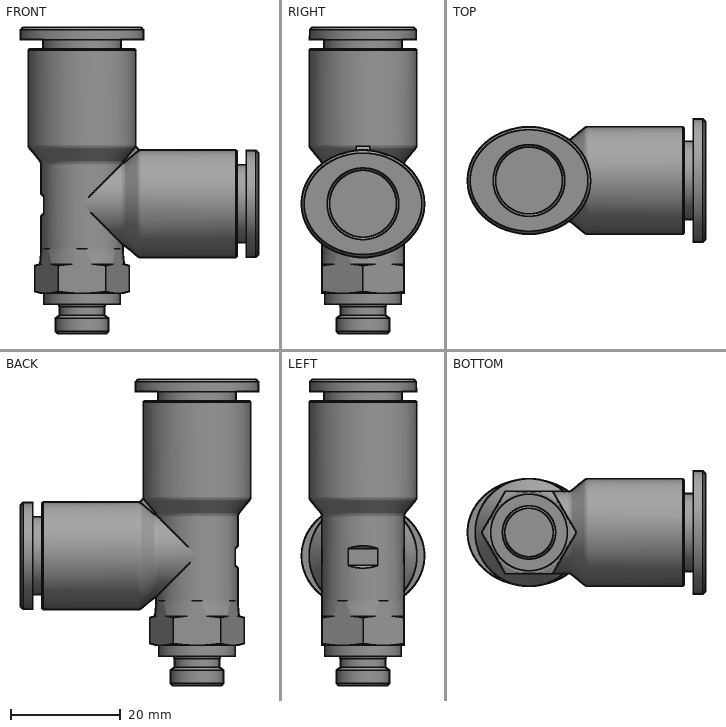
import cadquery as cq
import math


overall_height = 55.95
port_reach = 32.2
axis_height = overall_height - port_reach
stem_radius = 7.5
body_radius = 9.85
shoulder_start = 7.55
shoulder_end = 10.4
shoulder_blend = 1.0
collar_thickness = 2.3
collar_gap = 1.6
collar_length = 22.5
collar_width = 19.5
collar_chamfer = 0.5
neck_radius = 7.15
body_end = port_reach - collar_thickness - collar_gap
body_edge = 0.3
bore_radius = 6.1
bore_chamfer = 0.45
bore_depth = port_reach - shoulder_end

web_thickness = 2.5
web_half_width = 0.55
web_reach = 14.3

notch_height = 23.5
notch_depth = 0.5
notch_flat = 3.1

hex_across_flats = 2 * stem_radius
hex_corner_radius = hex_across_flats / math.sqrt(3)
hex_bottom = 7.4
hex_lower_corner = 7.7
hex_upper_corner = 12.4
crown_bottom = 12.7
crown_top = 15.5
crown_radius = 7.7

flange_radius = 7.0
flange_bottom = 5.35
groove_radius = 4.15
groove_bottom = 3.35
groove_top = 4.9
groove_root_radius = 4.3
spigot_radius = 4.85
spigot_top = 2.85
spigot_chamfer = 0.45


def port():
    """Tube port along +Z, starting at the axis crossing."""
    profile = (
        cq.Workplane("XZ")
        .moveTo(0, 0)
        .lineTo(stem_radius, 0)
        .lineTo(stem_radius, shoulder_start)
        .lineTo(body_radius, shoulder_end)
        .lineTo(body_radius, body_end)
        .lineTo(0, body_end)
        .close()
    )
    body = profile.revolve(360, (0, 0, 0), (0, 1, 0))
    shoulder_rings = body.faces("%CONE").edges("%CIRCLE")
    body = shoulder_rings.fillet(shoulder_blend)
    body = body.faces(">Z").edges().chamfer(body_edge)

    neck = cq.Workplane("XY").workplane(offset=body_end).circle(neck_radius).extrude(collar_gap)
    collar = (
        cq.Workplane("XY")
        .workplane(offset=port_reach - collar_thickness)
        .ellipse(collar_length / 2, collar_width / 2)
        .extrude(collar_thickness)
        .faces(">Z")
        .edges()
        .chamfer(collar_chamfer)
    )
    return body.union(neck).union(collar)


def bore():
    """Blind tube bore with a chamfered mouth, along +Z."""
    mouth_radius = bore_radius + bore_chamfer
    return (
        cq.Workplane("XZ")
        .moveTo(0, port_reach - bore_depth)
        .lineTo(bore_radius, port_reach - bore_depth)
        .lineTo(bore_radius, port_reach - bore_chamfer)
        .lineTo(mouth_radius, port_reach)
        .lineTo(0, port_reach)
        .close()
        .revolve(360, (0, 0, 0), (0, 1, 0))
    )


def upright(shape):
    return shape.translate((0, 0, axis_height))


def sideways(shape):
    """Turn a +Z port to +X; its long collar axis then lies along Y."""
    turned = shape.rotate((0, 0, 0), (0, 0, 1), 90).rotate((0, 0, 0), (0, 1, 0), 90)
    return upright(turned)


def corner_web():
    """Flat bar on the 45 degree line between the shoulders, square at its outer end."""
    bar = cq.Workplane("XY").box(web_reach, web_thickness, 2 * web_half_width, centered=(False, True, True))
    return upright(bar.rotate((0, 0, 0), (0, 1, 0), -45))


def notch():
    flat_x = -stem_radius + notch_depth
    mouth_x = -stem_radius - notch_depth
    half_flat = notch_flat / 2
    half_mouth = half_flat + flat_x - mouth_x
    return (
        cq.Workplane("XZ")
        .polyline([
            (flat_x, notch_height - half_flat),
            (flat_x, notch_height + half_flat),
            (mouth_x, notch_height + half_mouth),
            (mouth_x, notch_height - half_mouth),
        ])
        .close()
        .extrude(stem_radius, both=True)
    )


def hexagon():
    """Hexagon with corners on +X and -X, cut to a turned outline."""
    prism = (
        cq.Workplane("XY")
        .workplane(offset=hex_bottom)
        .polygon(6, 2 * hex_corner_radius)
        .extrude(crown_top - hex_bottom)
    )
    turned = (
        cq.Workplane("XZ")
        .polyline([
            (0, hex_bottom),
            (hex_across_flats / 2, hex_bottom),
            (hex_corner_radius, hex_lower_corner),
            (hex_corner_radius, hex_upper_corner),
            (crown_radius, crown_bottom),
            (stem_radius, crown_top),
            (0, crown_top),
        ])
        .close()
        .revolve(360, (0, 0, 0), (0, 1, 0))
    )
    return prism.intersect(turned)


def spigot():
    return (
        cq.Workplane("XZ")
        .polyline([
            (0, 0),
            (spigot_radius - spigot_chamfer, 0),
            (spigot_radius, spigot_chamfer),
            (spigot_radius, spigot_top),
            (groove_radius, groove_bottom),
            (groove_radius, groove_top),
            (groove_root_radius, flange_bottom),
            (flange_radius, flange_bottom),
            (flange_radius, hex_bottom),
            (0, hex_bottom),
        ])
        .close()
        .revolve(360, (0, 0, 0), (0, 1, 0))
    )


stem = (
    cq.Workplane("XY")
    .workplane(offset=crown_top)
    .circle(stem_radius)
    .extrude(axis_height - crown_top)
)

result = (
    upright(port())
    .union(stem)
    .union(sideways(port()))
    .union(corner_web())
    .union(hexagon())
    .union(spigot())
    .cut(notch())
    .cut(upright(bore()))
    .cut(sideways(bore()))
)